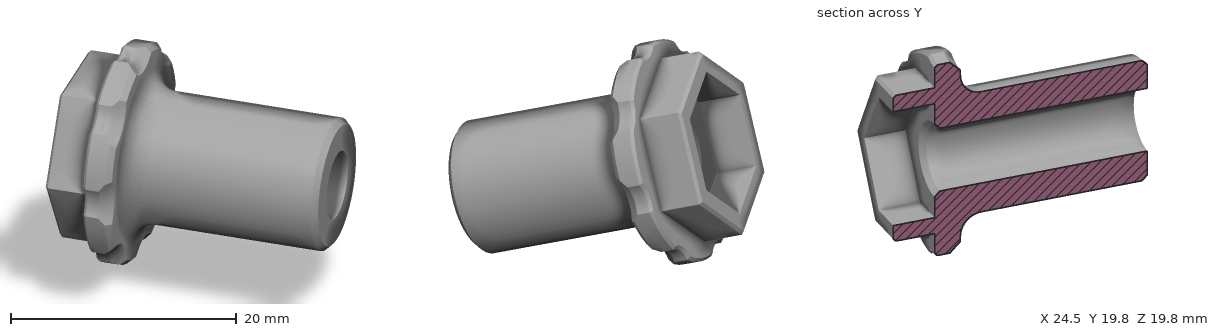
import cadquery as cq
import math

total_length = 24.5
head_length = 4.0
flange_thickness = 2.52
flange_radius = 10.0
shank_radius = 6.0
neck_radius = 1.95

head_across_flats = 14.53
socket_across_flats = 11.27
socket_depth = 4.0

bore_diameter = 6.2
small_chamfer = 0.27
large_chamfer = 0.51

scallop_count = 8
scallop_radius = 2.5
scallop_center_radius = 1.2 * flange_radius
scallop_flare_length = 1.05
scallop_flare_growth = 1.0

flange_end = head_length + flange_thickness
cut_margin = 0.25


def plane_at(x):
    """Plane facing +X, with local x along Y and local y along Z."""
    return cq.Workplane("YZ", origin=(x, 0, 0))


def hexagon(x, across_flats, length):
    """Hexagonal prism with two corners on the Y axis."""
    across_corners = across_flats / math.cos(math.pi / 6)
    return plane_at(x).polygon(6, across_corners).extrude(length)


def make_flange():
    """Disc with scalloped rim; each scallop flares into a cone at the back."""
    flange = plane_at(head_length).circle(flange_radius).extrude(flange_thickness)
    flange = flange.faces(">X").chamfer(large_chamfer)
    flare_start = flange_end - scallop_flare_length
    for index in range(scallop_count):
        angle = 2 * math.pi * index / scallop_count
        center_y = scallop_center_radius * math.cos(angle)
        center_z = scallop_center_radius * math.sin(angle)
        groove = (
            plane_at(head_length - cut_margin)
            .center(center_y, center_z)
            .circle(scallop_radius)
            .extrude(flange_thickness + 2 * cut_margin)
        )
        flare = cq.Solid.makeCone(
            scallop_radius,
            scallop_radius + scallop_flare_growth,
            scallop_flare_length,
            pnt=cq.Vector(flare_start, center_y, center_z),
            dir=cq.Vector(1, 0, 0),
        )
        flange = flange.cut(groove).cut(cq.Workplane(flare))
    return flange.faces("<X").chamfer(small_chamfer)


def make_shank():
    """Round shank with a concave neck and a chamfered free end."""
    neck_end = flange_end + neck_radius
    arc_offset = neck_radius * (1 - math.sqrt(0.5))
    neck_middle = (flange_end + arc_offset, shank_radius + arc_offset)
    return (
        cq.Workplane("XY")
        .moveTo(head_length, 0)
        .lineTo(head_length, shank_radius)
        .lineTo(flange_end, shank_radius)
        .lineTo(flange_end, shank_radius + neck_radius)
        .threePointArc(neck_middle, (neck_end, shank_radius))
        .lineTo(total_length - large_chamfer, shank_radius)
        .lineTo(total_length, shank_radius - large_chamfer)
        .lineTo(total_length, 0)
        .close()
        .revolve(360, (0, 0, 0), (1, 0, 0))
    )


def make_bore():
    """Through bore with a countersunk mouth on the socket floor."""
    bore_radius = bore_diameter / 2
    bore = plane_at(0).circle(bore_radius).extrude(total_length)
    countersink = cq.Solid.makeCone(
        bore_radius + large_chamfer,
        bore_radius,
        large_chamfer,
        pnt=cq.Vector(socket_depth, 0, 0),
        dir=cq.Vector(1, 0, 0),
    )
    return bore.union(cq.Workplane(countersink))


head = hexagon(0, head_across_flats, head_length).faces("<X").chamfer(small_chamfer)
socket = hexagon(0, socket_across_flats, socket_depth)

result = head.union(make_flange()).union(make_shank()).cut(socket).cut(make_bore())